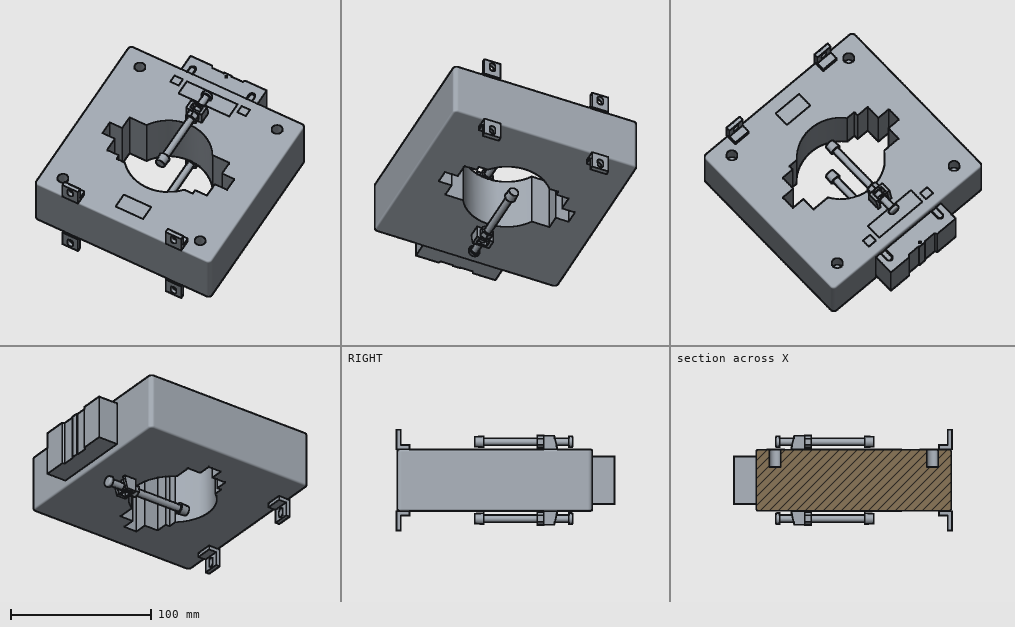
import cadquery as cq
import math


WIDTH = 144.0
TOTAL_LENGTH = 156.0
TOTAL_HEIGHT = 72.0
PART_FRONT = -TOTAL_LENGTH / 2
PART_REAR = TOTAL_LENGTH / 2

FOOT_OVERHANG = 0.6
TERMINAL_LENGTH = 15.9
HOUSING_HEIGHT = 44.0
CORNER_RADIUS = 3.1
RIM_RADIUS = 1.5
HOUSING_FRONT = PART_FRONT + FOOT_OVERHANG
HOUSING_REAR = PART_REAR - TERMINAL_LENGTH
HOUSING_LENGTH = HOUSING_REAR - HOUSING_FRONT
HOUSING_MID_Y = (HOUSING_FRONT + HOUSING_REAR) / 2
HOUSING_TOP = HOUSING_HEIGHT / 2

BORE_Y = -10.0
BORE_RADIUS = 31.5
BAR_SLOTS = [
    (102.0, -5.3, 5.5),
    (81.7, -16.7, 16.2),
    (62.4, -20.1, 0.0),
]

CORNER_HOLE_SPACING = 112.3
CORNER_HOLE_DIAMETER = 7.8
CORNER_HOLE_DEPTH = 12.5

LABEL_DEPTH = 0.2
MARK_X = 27.5
LABELS = [
    (0, 47.9, 41.5, 12.2),
    (0, -61.0, 22.5, 12.0),
    (-MARK_X, 51.0, 6.9, 6.2),
    (MARK_X, 51.0, 6.9, 6.2),
]

FOOT_X = 42.3
FOOT_WIDTH = 12.8
FOOT_THICKNESS = 3.3
FOOT_LENGTH = 9.5
FOOT_TIP = TOTAL_HEIGHT / 2
FOOT_SLOT_WIDTH = 4.4
FOOT_SLOT_LENGTH = 7.3
FOOT_SLOT_Z = 30.5

HOLDER_WIDTH = FOOT_WIDTH
HOLDER_TOP = 31.8
HOLDER_FRONT = 27.1
HOLDER_REAR_TOP = 34.8
HOLDER_REAR_BASE = 37.1
POCKET_WIDTH = 8.1
POCKET_FRONT = 28.9
POCKET_REAR = 33.2

SCREW_Z = 27.5
ROD_RADIUS = 2.7
HEAD_RADIUS = POCKET_WIDTH / 2
HEAD_FRONT = 45.2
HEAD_REAR = 48.0
HEAD_FILLET = 1.2
TIP_REAR = -15.5
TIP_FRONT = -22.0
TIP_FRONT_RADIUS = 3.6
NUT_WIDTH_ACROSS_FLATS = 8.0
NUT_LENGTH = 4.5

TERMINAL_WIDTH = 62.4
TERMINAL_HEIGHT = 34.0
TERMINAL_TOP = TERMINAL_HEIGHT / 2
NOTCH_MOUTH_WIDTH = 26.8
NOTCH_FLOOR_WIDTH = 25.0
NOTCH_DEPTH = 1.7
LUG_WIDTH = 6.0
LUG_LENGTH = 0.6
PINHOLE_Y = 74.4
PINHOLE_DIAMETER = 1.5
PINHOLE_DEPTH = 3.1
GROOVE_X = 24.2
GROOVE_WIDTH = 4.7
GROOVE_END = 71.1
GROOVE_DEPTH = 0.5
GROOVE_STEP_WIDTH = 0.6


def horizontal_plane(x, y, z):
    return cq.Workplane("XY", origin=(x, y, z))


def screw_axis_plane(y):
    """Plane across the screw axis; extruding from it runs toward -Y."""
    return cq.Workplane("XZ", origin=(0, y, SCREW_Z))


def above_and_below(upper):
    """The given shape and its mirror image on the other side of the housing."""
    return [upper, upper.mirror("XY")]


def make_block():
    block = cq.Workplane("XY").box(WIDTH, HOUSING_LENGTH, HOUSING_HEIGHT)
    block = block.edges("|Z").fillet(CORNER_RADIUS)
    block = block.faces("<Z or >Z").edges().fillet(RIM_RADIUS)
    return block.translate((0, HOUSING_MID_Y, 0))


def make_window():
    window = horizontal_plane(0, BORE_Y, -HOUSING_TOP).circle(BORE_RADIUS).extrude(HOUSING_HEIGHT)
    for width, lower, upper in BAR_SLOTS:
        middle = BORE_Y + (lower + upper) / 2
        plane = horizontal_plane(0, middle, -HOUSING_TOP)
        window = window.union(plane.rect(width, upper - lower).extrude(HOUSING_HEIGHT))
    return window


def make_corner_holes():
    plane = horizontal_plane(0, HOUSING_MID_Y, HOUSING_TOP)
    centres = plane.rect(CORNER_HOLE_SPACING, CORNER_HOLE_SPACING, forConstruction=True).vertices()
    return centres.circle(CORNER_HOLE_DIAMETER / 2).extrude(-CORNER_HOLE_DEPTH)


def make_foot():
    """Upper foot, centred on X = 0."""
    plate_top = HOUSING_TOP + FOOT_THICKNESS
    upright_rear = PART_FRONT + FOOT_THICKNESS
    profile = [
        (PART_FRONT, HOUSING_TOP),
        (PART_FRONT + FOOT_LENGTH, HOUSING_TOP),
        (PART_FRONT + FOOT_LENGTH, plate_top),
        (upright_rear, plate_top),
        (upright_rear, FOOT_TIP),
        (PART_FRONT, FOOT_TIP),
    ]
    foot = cq.Workplane("YZ").polyline(profile).close().extrude(FOOT_WIDTH / 2, both=True)
    slot_plane = cq.Workplane("XZ", origin=(0, upright_rear, FOOT_SLOT_Z))
    return foot.cut(slot_plane.slot2D(FOOT_SLOT_LENGTH, FOOT_SLOT_WIDTH, 90).extrude(FOOT_THICKNESS))


def make_holder():
    """Upper holder, with the pocket, the rear clearance and the bore for the screw."""
    profile = [
        (HOLDER_FRONT, HOUSING_TOP),
        (HOLDER_REAR_BASE, HOUSING_TOP),
        (HOLDER_REAR_TOP, HOLDER_TOP),
        (HOLDER_FRONT, HOLDER_TOP),
    ]
    height = HOLDER_TOP - HOUSING_TOP
    holder = cq.Workplane("YZ").polyline(profile).close().extrude(HOLDER_WIDTH / 2, both=True)
    for front, rear in [(POCKET_FRONT, POCKET_REAR), (HOLDER_REAR_TOP, HOLDER_REAR_BASE)]:
        plane = horizontal_plane(0, (front + rear) / 2, HOUSING_TOP)
        holder = holder.cut(plane.rect(POCKET_WIDTH, rear - front).extrude(height))
    bore_length = HOLDER_REAR_BASE - HOLDER_FRONT
    return holder.cut(screw_axis_plane(HOLDER_REAR_BASE).circle(ROD_RADIUS).extrude(bore_length))


def make_housing():
    housing = make_block().cut(make_window()).cut(make_corner_holes())
    for x, y, width, length in LABELS:
        housing = housing.cut(horizontal_plane(x, y, HOUSING_TOP).rect(width, length).extrude(-LABEL_DEPTH))
    for holder in above_and_below(make_holder()):
        housing = housing.union(holder)
    for foot in above_and_below(make_foot()):
        for x in (-FOOT_X, FOOT_X):
            housing = housing.union(foot.translate((x, 0, 0)))
    return housing


def make_terminal_block():
    """Block with a notched rear, a small lug in the notch, and details in its top face."""
    notch_floor = PART_REAR - NOTCH_DEPTH
    right_half = [
        (TERMINAL_WIDTH / 2, HOUSING_REAR),
        (TERMINAL_WIDTH / 2, PART_REAR),
        (NOTCH_MOUTH_WIDTH / 2, PART_REAR),
        (NOTCH_FLOOR_WIDTH / 2, notch_floor),
        (LUG_WIDTH / 2, notch_floor),
        (LUG_WIDTH / 2, notch_floor + LUG_LENGTH),
    ]
    left_half = [(-x, y) for x, y in reversed(right_half)]
    base = horizontal_plane(0, 0, -TERMINAL_TOP)
    block = base.polyline(right_half + left_half).close().extrude(TERMINAL_HEIGHT)

    pinhole = horizontal_plane(0, PINHOLE_Y, TERMINAL_TOP).circle(PINHOLE_DIAMETER / 2)
    block = block.cut(pinhole.extrude(-PINHOLE_DEPTH))

    for side in (-1, 1):
        block = block.cut(make_groove(side))
    return block


def make_groove(side):
    """Two-level groove that runs out at the housing wall; its step is on the inner side and the end.

    Each level is half of a slot centred on the housing wall; only that half meets the block.
    """
    upper_length = 2 * (GROOVE_END - HOUSING_REAR)
    lower_length = upper_length - 2 * GROOVE_STEP_WIDTH
    lower_width = GROOVE_WIDTH - GROOVE_STEP_WIDTH
    lower_x = GROOVE_X + GROOVE_STEP_WIDTH / 2
    upper = horizontal_plane(side * GROOVE_X, HOUSING_REAR, TERMINAL_TOP)
    upper = upper.slot2D(upper_length, GROOVE_WIDTH, 90).extrude(-GROOVE_DEPTH)
    lower = horizontal_plane(side * lower_x, HOUSING_REAR, TERMINAL_TOP)
    lower = lower.slot2D(lower_length, lower_width, 90).extrude(-2 * GROOVE_DEPTH)
    return upper.union(lower)


def make_screw():
    """Upper screw: a rod with a rounded head at the rear and a tapered tip at the front."""
    tip_length = TIP_REAR - TIP_FRONT
    rod = screw_axis_plane(HEAD_FRONT).circle(ROD_RADIUS).extrude(HEAD_FRONT - TIP_REAR)
    head = screw_axis_plane(HEAD_REAR).circle(HEAD_RADIUS).extrude(HEAD_REAR - HEAD_FRONT)
    head = head.faces(">Y").edges().fillet(HEAD_FILLET)
    tip = screw_axis_plane(TIP_REAR).circle(HEAD_RADIUS).workplane(offset=tip_length)
    tip = tip.circle(TIP_FRONT_RADIUS).loft(combine=True)
    return rod.union(head).union(tip)


def make_nut():
    """Upper nut: a hexagon against the holder front, with two corners on the vertical."""
    corner_radius = NUT_WIDTH_ACROSS_FLATS / math.sqrt(3)
    angles = [math.radians(90 + 60 * i) for i in range(6)]
    corners = [(corner_radius * math.cos(a), corner_radius * math.sin(a)) for a in angles]
    nut = screw_axis_plane(HOLDER_FRONT).polyline(corners).close().extrude(NUT_LENGTH)
    return nut.cut(screw_axis_plane(HOLDER_FRONT).circle(ROD_RADIUS).extrude(NUT_LENGTH))


housing = make_housing()
terminal_block = make_terminal_block()
screws = above_and_below(make_screw())
nuts = above_and_below(make_nut())

result = cq.Compound.makeCompound(
    [body.val() for body in [housing, terminal_block, *screws, *nuts]]
)